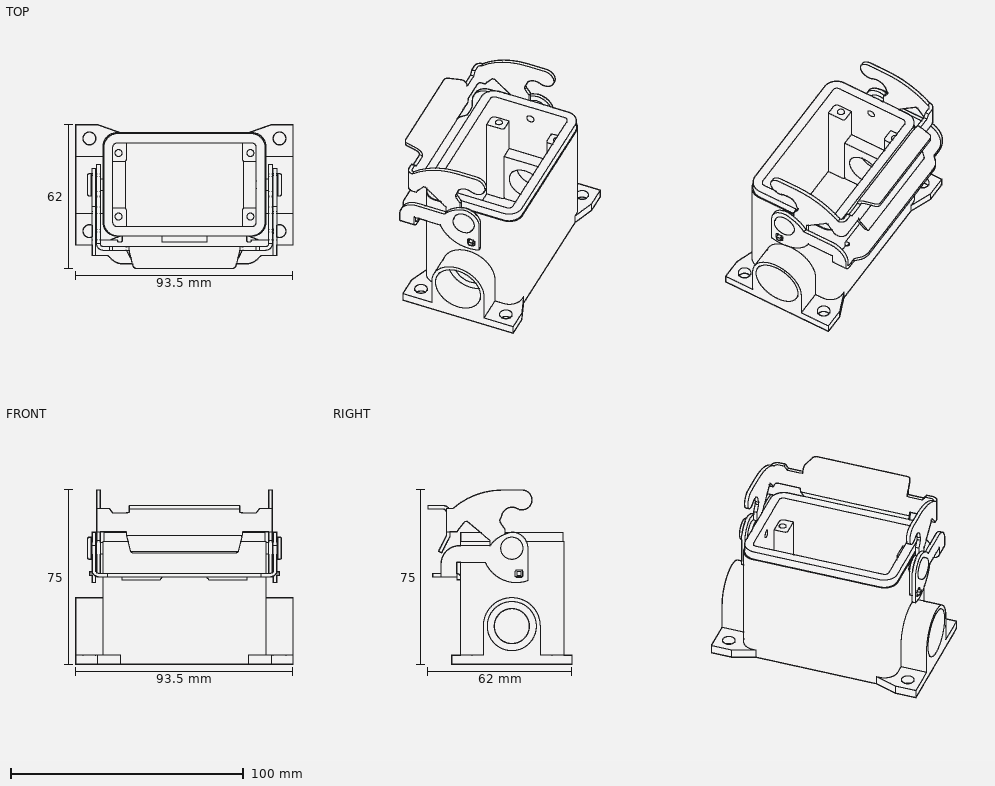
import cadquery as cq
import math

base_length = 93.5
base_half_width = 25.9
base_height = 3.9
base_slope_outer_x = 37.4
base_slope_inner_x = 27.6
foot_hole_x = 40.9
foot_hole_y = 19.9
foot_hole_radius = 2.7

body_height = 56.8
body_half_length = 35.1
body_front_y = -22.1
body_back_y = 22.4
body_corner_radius = 6.1
rim_height = 3.9
rim_inset = 0.4
rim_front_inset = 0.1

cavity_half_length = 30.9
cavity_half_width = 17.95
cavity_corner_radius = 1.9

entry_radius = 12.25
entry_z = 16.5
entry_bore_radius = 10.6
entry_bore_depth = 13.4
entry_hole_radius = 7.5
post_length = 5.9
post_width = 8.0
post_top_z = 44.9
post_corner_radius = 1.1
post_hole_x = 28.3
post_hole_y = 13.65
post_hole_radius = 1.5
post_hole_depth = 9.35
ledge_depth = 5.5
ledge_top_z = entry_z + entry_radius

sheet = 1.6
plate_bend_radius = 3.1
panel_bend_radius = 2.8
pivot_z = 49.9
pin_radius = 2.5
pin_tail_radius = 1.7
pin_head_radius = 4.8
pin_head_height = 1.6
pin_head_rounding = 0.75
pin_head_x = 41.7
outer_sheet_x = 39.7
inner_sheet_x = 37.8
stop_y = 3.1
stop_z = 39.0
stop_size = 1.7
stop_hole_size = 3.4
stop_hole_chamfer = 0.7
stop_tip_x = 40.8

plate_top_z = 39.1
arm_front_y = -30.5
arm_back_y = -23.7
plate_front_y = -34.0
shoulder_x = 33.0
plate_straight_x = 26.1
slot_floor_y = -24.6
slot_half_length = 9.6
relief_inner_x = 26.8
relief_width = 1.9
relief_radius = 0.6
tongue_bottom_z = 36.4
tongue_bend_radius = 1.5
tongue_chamfer = 0.9

panel_front_y = -28.1
panel_bottom_z = 56.9
panel_side_z = 67.0
panel_middle_z = 65.2
panel_step_outer_x = 32.3
panel_step_inner_x = 30.9
flap_root_x = 25.1
flap_bend_x = 24.8
flap_tip_x = 23.0
flap_angle = math.radians(27)
flap_bend_z = 55.0
flap_length = 7.95
flap_corner_radius = 1.4
lip_top_z = 68.35
lip_bend_radius = 3.0
lip_front_y = -36.1
lip_root_x = 23.8
lip_end_x = 21.9
lip_corner_radius = 1.9


def both_ends(part):
    """The part together with its mirror image at the other X end."""
    return part.union(part.mirror("YZ"))


def mirrored_outline(plane, left_points):
    """Closed outline from points on the -X side, mirrored about X = 0."""
    right_points = [(-x, other) for x, other in reversed(left_points)]
    return cq.Workplane(plane).polyline(left_points + right_points).close()


def box(x_range, y_range, z_range):
    (x0, x1), (y0, y1), (z0, z1) = x_range, y_range, z_range
    return cq.Workplane("XY").box(x1 - x0, y1 - y0, z1 - z0, centered=False).translate((x0, y0, z0))


def x_cylinder(radius, x0, x1, z):
    """Cylinder along X from x0 to x1, in the middle of the part's width."""
    return cq.Workplane("YZ", origin=(x0, 0, z)).circle(radius).extrude(x1 - x0)



def mounting_base():
    left_points = [
        (-base_slope_inner_x, body_front_y),
        (-base_slope_outer_x, -base_half_width),
        (-base_length / 2, -base_half_width),
        (-base_length / 2, base_half_width),
        (-base_slope_outer_x, base_half_width),
        (-base_slope_inner_x, body_back_y),
    ]
    base = mirrored_outline("XY", left_points).extrude(base_height)
    holes = (
        cq.Workplane("XY")
        .rect(2 * foot_hole_x, 2 * foot_hole_y, forConstruction=True)
        .vertices()
        .circle(foot_hole_radius)
        .extrude(base_height)
    )
    return base.cut(holes)


def outer_box():
    """Outer block of the housing, with the slightly smaller rim on top."""
    rim_bottom = body_height - rim_height
    rim_half_length = body_half_length - rim_inset
    block = box(
        (-body_half_length, body_half_length),
        (body_front_y, body_back_y),
        (0, rim_bottom),
    )
    rim = box(
        (-rim_half_length, rim_half_length),
        (body_front_y + rim_front_inset, body_back_y - rim_inset),
        (rim_bottom, body_height),
    )
    block = block.edges("|Z").fillet(body_corner_radius)
    rim = rim.edges("|Z").fillet(body_corner_radius)
    return block.union(rim)


def cavity():
    block = box(
        (-cavity_half_length, cavity_half_length),
        (-cavity_half_width, cavity_half_width),
        (base_height, body_height),
    )
    return block.edges("|Z").fillet(cavity_corner_radius)


def inner_fittings():
    """Screw posts in the cavity corners and the ledges between them."""
    x_inner = cavity_half_length - post_length
    y_inner = cavity_half_width - post_width
    wall_overlap = cavity_corner_radius
    post = box(
        (-cavity_half_length - wall_overlap, -x_inner),
        (-cavity_half_width - wall_overlap, -y_inner),
        (0, post_top_z),
    )
    post = post.edges("|Z and >X and >Y").fillet(post_corner_radius)
    screw_hole = (
        cq.Workplane("XY", origin=(-post_hole_x, -post_hole_y, post_top_z - post_hole_depth))
        .circle(post_hole_radius)
        .extrude(post_hole_depth)
    )
    post = post.cut(screw_hole)
    posts = post.union(post.mirror("XZ"))
    ledge = box(
        (-cavity_half_length, -cavity_half_length + ledge_depth),
        (-y_inner, y_inner),
        (0, ledge_top_z),
    )
    return both_ends(posts.union(ledge))


def cable_entries():
    """Round-topped bosses that carry the cable bores."""
    boss = x_cylinder(entry_radius, -base_length / 2, -cavity_half_length, entry_z)
    foot = box(
        (-base_length / 2, -cavity_half_length),
        (-entry_radius, entry_radius),
        (0, entry_z),
    )
    return both_ends(boss.union(foot))


def cable_bores():
    bore = x_cylinder(entry_bore_radius, -base_length / 2, -base_length / 2 + entry_bore_depth, entry_z)
    through_hole = x_cylinder(entry_hole_radius, -base_length / 2, base_length / 2, entry_z)
    return both_ends(bore).union(through_hole)


def make_housing():
    pin_holes = x_cylinder(pin_tail_radius, -body_half_length, body_half_length, pivot_z)
    return (
        outer_box()
        .union(mounting_base())
        .union(cable_entries())
        .cut(cavity())
        .union(inner_fittings())
        .cut(cable_bores())
        .cut(pin_holes)
    )



def pivot_pin():
    """Pin at the -X end, with a round head and a thinner tail in the housing wall."""
    head = x_cylinder(pin_head_radius, -pin_head_x, -pin_head_x + pin_head_height, pivot_z)
    head = head.faces("<X").edges().fillet(pin_head_rounding)
    shank = x_cylinder(pin_radius, -pin_head_x + pin_head_height, -body_half_length, pivot_z)
    tail = x_cylinder(pin_tail_radius, -body_half_length, -cavity_half_length, pivot_z)
    return head.union(shank).union(tail)


def outer_arm():
    """Cranked side arm of the outer sheet at the -X end, with the hole for the stop."""
    eye_radius = 6.9
    bend_z = plate_top_z - sheet + plate_bend_radius
    top_z = 51.05
    bottom_z = 43.85
    tail_z = 36.0
    knee_radius = 7.95
    knee = math.sqrt(0.5) * knee_radius
    knee_y = arm_front_y + knee_radius
    knee_z = top_z - knee_radius
    eye = math.sqrt(0.5) * eye_radius
    arm = (
        cq.Workplane("YZ", origin=(-outer_sheet_x, 0, 0))
        .moveTo(eye_radius, tail_z)
        .lineTo(eye_radius, pivot_z)
        .threePointArc((eye, pivot_z + eye), (0, pivot_z + eye_radius))
        .threePointArc((-4.9, 55.1), (-9.35, top_z))
        .lineTo(knee_y, top_z)
        .threePointArc((knee_y - knee, knee_z + knee), (arm_front_y, knee_z))
        .lineTo(arm_front_y, bend_z)
        .lineTo(arm_back_y, bend_z)
        .lineTo(arm_back_y, bottom_z)
        .lineTo(-11.4, bottom_z)
        .threePointArc((-6.3, 37.7), (eye_radius, tail_z))
        .close()
        .extrude(sheet)
    )
    stop_hole = (
        cq.Workplane("YZ", origin=(-outer_sheet_x, stop_y, stop_z))
        .rect(stop_hole_size, stop_hole_size)
        .extrude(sheet)
        .edges("|X")
        .chamfer(stop_hole_chamfer)
    )
    return arm.cut(stop_hole)


def lower_bend():
    """Bend from the outer arm at the -X end into the lower plate."""
    bend_z = plate_top_z - sheet + plate_bend_radius
    bend_x = -outer_sheet_x + plate_bend_radius
    ring = (
        cq.Workplane("XZ", origin=(bend_x, arm_front_y, bend_z))
        .circle(plate_bend_radius)
        .circle(plate_bend_radius - sheet)
        .extrude(arm_front_y - arm_back_y)
    )
    corner = box((-outer_sheet_x, bend_x), (arm_front_y, arm_back_y), (bend_z - plate_bend_radius, bend_z))
    return ring.intersect(corner)


def lower_plate():
    """Flat plate of the outer sheet, with reliefs and a slot that leave two tongues."""
    bottom_z = plate_top_z - sheet
    bend_x = outer_sheet_x - plate_bend_radius
    half_plate = (
        cq.Workplane("XY", origin=(0, 0, bottom_z))
        .moveTo(0, arm_back_y)
        .lineTo(-bend_x, arm_back_y)
        .lineTo(-bend_x, arm_front_y)
        .lineTo(-shoulder_x, arm_front_y)
        .lineTo(-31.8, -31.5)
        .threePointArc((-29.9, -33.1), (-plate_straight_x, plate_front_y))
        .lineTo(0, plate_front_y)
        .close()
        .extrude(sheet)
    )
    slot = box(
        (-slot_half_length, slot_half_length), (slot_floor_y, body_front_y), (bottom_z, plate_top_z)
    )
    relief = box(
        (-relief_inner_x - relief_width, -relief_inner_x),
        (slot_floor_y, body_front_y),
        (bottom_z, plate_top_z),
    )
    relief = relief.edges("|Z and <Y").fillet(relief_radius)
    return both_ends(half_plate).cut(slot).cut(both_ends(relief))


def tongue():
    """Tongue at the -X side, bent down from the lower plate against the housing wall."""
    strip = box(
        (-relief_inner_x, -slot_half_length),
        (arm_back_y, body_front_y),
        (tongue_bottom_z, plate_top_z),
    )
    strip = strip.edges("|X and >Y and >Z").fillet(tongue_bend_radius)
    return strip.edges("|Y and >X and <Z").chamfer(tongue_chamfer)


def hook():
    """Hook of the inner sheet at the -X end, with the stop that reaches through the outer arm."""
    crest_y = -4.2
    lobe_y = 4.4
    lobe_radius = 4.3
    top_z = 75.0
    lobe_z = top_z - lobe_radius
    bend_y = panel_front_y + panel_bend_radius
    eye_radius = 4.7
    eye = math.sqrt(0.5) * eye_radius
    neck_y = 2.9
    neck_z = pivot_z + math.sqrt(eye_radius**2 - neck_y**2)
    bottom_z = 37.7
    front_y = -9.4
    plate = (
        cq.Workplane("YZ", origin=(-inner_sheet_x, 0, 0))
        .moveTo(crest_y, top_z)
        .lineTo(lobe_y, top_z)
        .threePointArc((lobe_y + lobe_radius, lobe_z), (lobe_y, lobe_z - lobe_radius))
        .lineTo(3.5, lobe_z - lobe_radius)
        .threePointArc((2.5, 66.85), (1.1, 67.4))
        .threePointArc((-3.1, 66.2), (-4.4, 63.5))
        .lineTo(-5.1, 62.0)
        .lineTo(-4.9, 60.9)
        .lineTo(-neck_y, 58.1)
        .lineTo(-neck_y, neck_z)
        .threePointArc((eye, pivot_z + eye), (eye_radius, pivot_z))
        .lineTo(eye_radius, bottom_z)
        .lineTo(1.6, bottom_z)
        .threePointArc((-6.2, 40.95), (front_y, 48.1))
        .lineTo(front_y, 53.3)
        .lineTo(-19.2, 61.4)
        .lineTo(-20.2, 61.3)
        .lineTo(-22.9, 58.0)
        .lineTo(-23.5, panel_bottom_z)
        .lineTo(bend_y, panel_bottom_z)
        .lineTo(bend_y, panel_side_z)
        .threePointArc((-15.7, 72.8), (crest_y, top_z))
        .close()
        .extrude(sheet)
    )
    stop = (
        cq.Workplane("YZ", origin=(-stop_tip_x, stop_y, stop_z))
        .rect(stop_size, stop_size)
        .extrude(stop_tip_x - inner_sheet_x)
    )
    return plate.union(stop)


def panel_bend():
    """Bend from the hook at the -X end into the front panel."""
    bend_x = -inner_sheet_x + panel_bend_radius
    bend_y = panel_front_y + panel_bend_radius
    height = panel_side_z - panel_bottom_z
    ring = (
        cq.Workplane("XY", origin=(bend_x, bend_y, panel_bottom_z))
        .circle(panel_bend_radius)
        .circle(panel_bend_radius - sheet)
        .extrude(height)
    )
    corner = box((-inner_sheet_x, bend_x), (panel_front_y, bend_y), (panel_bottom_z, panel_side_z))
    return ring.intersect(corner)


def front_panel():
    """Front panel with the flap that tilts forward below it."""
    back_y = panel_front_y + sheet
    half_length = inner_sheet_x - panel_bend_radius
    flap_drop = flap_length * math.cos(flap_angle)
    flap_reach = flap_length * math.sin(flap_angle)
    tip_y = back_y - flap_reach
    tip_z = flap_bend_z - flap_drop
    section = [
        (back_y, panel_side_z),
        (back_y, flap_bend_z),
        (tip_y, tip_z),
        (tip_y - sheet * math.cos(flap_angle), tip_z + sheet * math.sin(flap_angle)),
        (panel_front_y, flap_bend_z + sheet * math.tan(flap_angle / 2)),
        (panel_front_y, panel_side_z),
    ]
    profile = cq.Workplane("YZ").polyline(section).close().extrude(half_length, both=True)
    panel_outline = [
        (-half_length, panel_bottom_z),
        (-half_length, panel_side_z),
        (-panel_step_outer_x, panel_side_z),
        (-panel_step_inner_x, panel_middle_z),
        (-flap_root_x, panel_middle_z),
        (-lip_root_x, lip_top_z - lip_bend_radius),
    ]
    panel_shape = mirrored_outline("XZ", panel_outline).extrude(2 * base_half_width)
    flap_outline = [(-flap_root_x, panel_bottom_z), (-flap_bend_x, flap_bend_z), (-flap_tip_x, tip_z)]
    flap_shape = mirrored_outline("XZ", flap_outline).extrude(2 * base_half_width)
    flap_shape = flap_shape.edges("|Y and <Z").fillet(flap_corner_radius)
    return profile.intersect(panel_shape.union(flap_shape))


def handle_lip():
    """Lip bent forward from the top edge of the front panel."""
    back_y = panel_front_y + sheet
    bend_y = back_y - lip_bend_radius
    bend_z = lip_top_z - lip_bend_radius
    inner_radius = lip_bend_radius - sheet
    outer_diagonal = math.sqrt(0.5) * lip_bend_radius
    inner_diagonal = math.sqrt(0.5) * inner_radius
    profile = (
        cq.Workplane("YZ")
        .moveTo(back_y, bend_z)
        .threePointArc((bend_y + outer_diagonal, bend_z + outer_diagonal), (bend_y, lip_top_z))
        .lineTo(lip_front_y, lip_top_z)
        .lineTo(lip_front_y, lip_top_z - sheet)
        .lineTo(bend_y, lip_top_z - sheet)
        .threePointArc((bend_y + inner_diagonal, bend_z + inner_diagonal), (panel_front_y, bend_z))
        .close()
        .extrude(lip_root_x, both=True)
    )
    outline = [(-lip_root_x, back_y), (-lip_root_x, panel_front_y), (-lip_end_x, lip_front_y)]
    shape = mirrored_outline("XY", outline).extrude(lip_top_z)
    shape = shape.edges("|Z and <Y").fillet(lip_corner_radius)
    return profile.intersect(shape)


def make_lever():
    end = (
        outer_arm()
        .union(lower_bend())
        .union(tongue())
        .union(hook())
        .union(panel_bend())
        .union(pivot_pin())
    )
    return lower_plate().union(both_ends(end)).union(front_panel()).union(handle_lip())


housing = make_housing()
lever = make_lever()

result = cq.Compound.makeCompound([housing.val(), lever.val()])